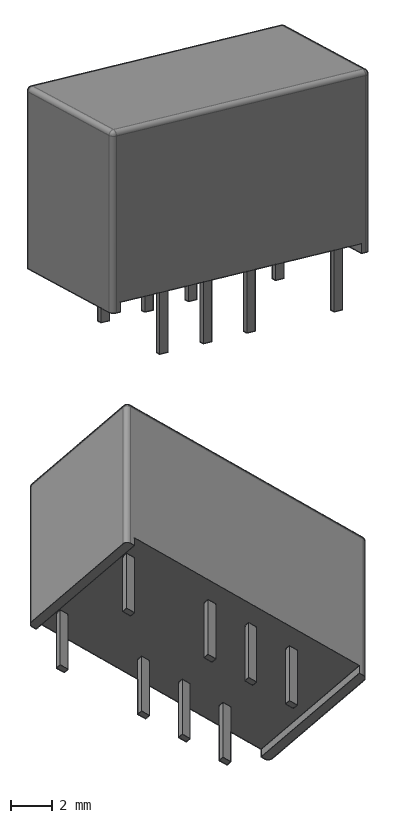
import cadquery as cq

length = 15.0
width = 7.5
total_height = 12.6
pin_drop = 3.18
case_height = total_height - pin_drop
edge_radius = 0.25

foot_length = 0.5
foot_height = 0.51

pitch = 2.54
row_spacing = 2 * pitch
pin_thickness = 0.3
pin_breadth = 0.5
first_pin_y = 6.38
pin_steps = (0, 2, 3, 4)


def make_case():
    """Box with rounded top and upright edges and a raised underside."""
    case = cq.Workplane("XY").box(width, length, case_height, centered=(True, True, False))
    case = case.edges("|Z or >Z").fillet(edge_radius)
    recess = cq.Workplane("XY").box(
        width, length - 2 * foot_length, foot_height, centered=(True, True, False)
    )
    return case.cut(recess)


def make_pins():
    """Straight rectangular pins, ending on the raised underside."""
    row_x = row_spacing / 2
    centers = [(x, first_pin_y - step * pitch) for x in (-row_x, row_x) for step in pin_steps]
    return (
        cq.Workplane("XY", origin=(0, 0, -pin_drop))
        .pushPoints(centers)
        .rect(pin_thickness, pin_breadth)
        .extrude(pin_drop + foot_height)
    )


result = make_case().union(make_pins())